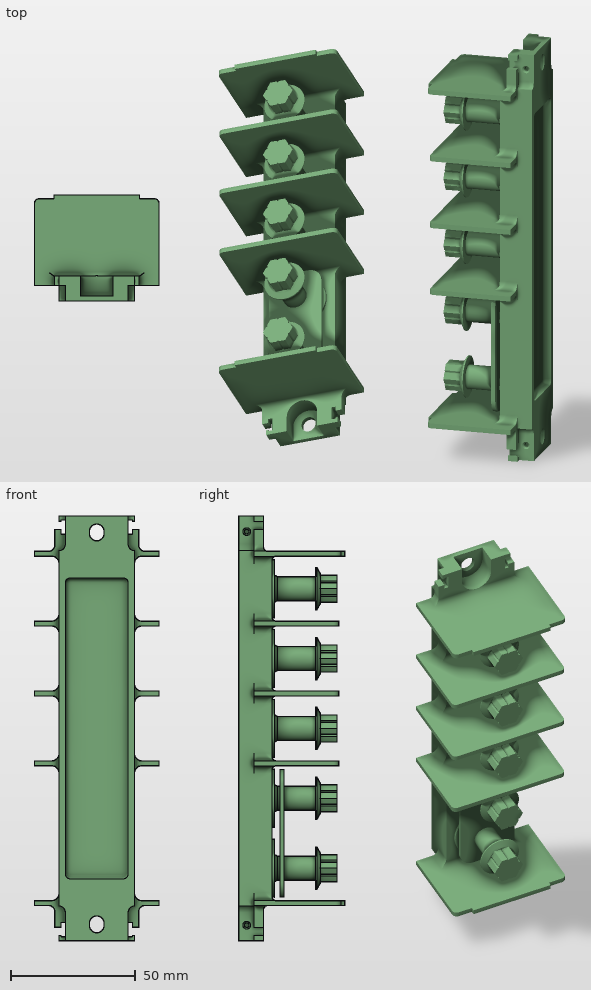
import cadquery as cq
import math

LENGTH = 170.2
END_DIVIDER_SPAN = 139.9
TERMINAL_COUNT = 5
PITCH = END_DIVIDER_SPAN / TERMINAL_COUNT

BODY_WIDTH = 30.3
BODY_BACK = 13.5
BODY_END = LENGTH / 2 - 14.0

END_WIDTH = 25.2
END_BACK = 10.0
RELIEF_DEPTH = 6.1

EAR_WIDTH = 33.7
EAR_THICKNESS = 2.5
EAR_TOP = LENGTH / 2 - 5.5
EAR_STEP = 1.9
LUG_HEIGHT = 2.2
LUG_LIP_THICKNESS = 0.9
LUG_LIP_DROP = 0.5

SLOT_CENTRE = LENGTH / 2 - 6.6
SLOT_WIDTH = 5.8
SLOT_HEIGHT = 6.6
CHANNEL_WIDTH = 13.0
END_WALL = 2.0

SIDE_HOLE_Y = 3.2
SIDE_HOLE_Z = LENGTH / 2 - 6.3
SIDE_HOLE_DIAMETER = 1.9
SIDE_SINK_DIAMETER = 3.0
SIDE_HOLE_DEPTH = 3.0

RECESS_WIDTH = 25.2
RECESS_LENGTH = 120.5
RECESS_DEPTH = 3.0
RECESS_DRAFT = 15
RECESS_CORNER = 2.0
RECESS_FLOOR_FILLET = 1.2

DIVIDER_WIDTH = 50.0
DIVIDER_THICKNESS = 2.0
DIVIDER_CORNER = 2.0
MIDDLE_DIVIDER_BACK = 40.2
END_DIVIDER_BACK = 41.0
TAB_WIDTH = 34.4
TAB_BACK = 42.5
BODY_SIDE_COVE = 2.9
EAR_SIDE_COVE = 2.4
BACK_COVE = 1.5

PAD_DIAMETER = 23.3
PAD_BACK = 14.5
FLARE_DIAMETER = 10.9
FLARE_BACK = 15.5
SHAFT_DIAMETER = 9.7
FLANGE_FRONT = 30.8
FLANGE_RIM = 0.5
FLANGE_BACK = 32.8
FLANGE_DIAMETER = 17.0
FLANGE_TOP_DIAMETER = 11.9
HEAD_BACK = 39.5
HEAD_SIDES = 6
HEAD_ACROSS_FLATS = 10.9
HEAD_GROOVE_WIDTH = 1.0
HEAD_GROOVE_DEPTH = 0.5

LINK_FRONT = 16.5
LINK_BACK = 18.2
LINK_WIDTH = 22.1
LINK_OVERHANG = 11.5
LINK_CORNER = 5.6

STUD_HEIGHTS = [(k - (TERMINAL_COUNT - 1) / 2) * PITCH for k in range(TERMINAL_COUNT)]
MIDDLE_DIVIDER_HEIGHTS = [z + PITCH / 2 for z in STUD_HEIGHTS[1:-1]]
END_DIVIDER_HEIGHT = END_DIVIDER_SPAN / 2
LINKED_STUDS = STUD_HEIGHTS[:2]
HEAD_TURN = 360 / HEAD_SIDES
HEAD_ACROSS_CORNERS = HEAD_ACROSS_FLATS / math.cos(math.pi / HEAD_SIDES)


def block(x_range, y_range, z_range):
    """Box between the given limits."""
    spans = [high - low for low, high in (x_range, y_range, z_range)]
    corner = (x_range[0], y_range[0], z_range[0])
    return cq.Workplane("XY").box(*spans, centered=False).translate(corner)


def centred_block(width, y_range, z_range):
    """Box symmetric about X = 0."""
    return block((-width / 2, width / 2), y_range, z_range)


def facing_back(y, z=0):
    """Workplane at depth y looking along -Y, so that extrusion runs toward +Y (local y is -Z)."""
    return cq.Workplane(cq.Plane((0, y, z), xDir=(1, 0, 0), normal=(0, 1, 0)))


def disc(diameter, front, back, z):
    return facing_back(front, z).circle(diameter / 2).extrude(back - front)


def cone(front_diameter, back_diameter, front, back, z):
    return (
        facing_back(front, z).circle(front_diameter / 2)
        .workplane(offset=back - front).circle(back_diameter / 2).loft()
    )


def both_ends(shape):
    """The shape together with its mirror image at the other end."""
    return shape.union(shape.mirror("XY"))


def body_core():
    front = centred_block(BODY_WIDTH, (0, RELIEF_DEPTH), (-BODY_END, BODY_END))
    core = centred_block(BODY_WIDTH, (0, BODY_BACK), (-END_DIVIDER_HEIGHT, END_DIVIDER_HEIGHT))
    ends = centred_block(END_WIDTH, (0, END_BACK), (-LENGTH / 2, LENGTH / 2))
    return core.union(front).union(ends)


def shoulder_coves():
    """Quarter-round hollows where the narrow end widens to the body."""
    radius = (BODY_WIDTH - END_WIDTH) / 2
    coves = cq.Workplane("XY")
    for side in (-1, 1):
        corner = block((0, radius), (0, RELIEF_DEPTH), (0, radius)).cut(
            facing_back(0).center(radius, -radius).circle(radius).extrude(RELIEF_DEPTH)
        )
        if side < 0:
            corner = corner.mirror("YZ")
        coves = coves.union(corner.translate((side * END_WIDTH / 2, 0, BODY_END)))
    return both_ends(coves)


def ears():
    """Arms beside each mounting end, notched at the inner side of the tip."""
    depth = (RELIEF_DEPTH, END_BACK)
    arms = centred_block(EAR_WIDTH, depth, (END_DIVIDER_HEIGHT, EAR_TOP))
    notch_width = EAR_WIDTH - 2 * EAR_THICKNESS
    notch = centred_block(notch_width, depth, (EAR_TOP - EAR_STEP, EAR_TOP))
    return both_ends(arms.cut(notch))


def lugs():
    """Side lugs at the very end, with a thin lip hanging from the outer side."""
    depth = (RELIEF_DEPTH, END_BACK)
    bottom = LENGTH / 2 - LUG_HEIGHT
    lug = centred_block(BODY_WIDTH, depth, (bottom, LENGTH / 2))
    gap_width = BODY_WIDTH - 2 * LUG_LIP_THICKNESS
    gap = centred_block(gap_width, depth, (bottom, bottom + LUG_LIP_DROP))
    return both_ends(lug.cut(gap))


def mounting_slots():
    """Oval screw slot and the round-ended channel behind it, open at the end."""
    slot = facing_back(0, SLOT_CENTRE).slot2D(SLOT_HEIGHT, SLOT_WIDTH, 90).extrude(BODY_BACK)
    channel = disc(CHANNEL_WIDTH, END_WALL, BODY_BACK, SLOT_CENTRE).union(
        centred_block(CHANNEL_WIDTH, (END_WALL, BODY_BACK), (SLOT_CENTRE, LENGTH / 2))
    )
    return both_ends(slot.union(channel))


def side_holes():
    """Countersunk blind holes in both sides of the end."""
    sink_depth = (SIDE_SINK_DIAMETER - SIDE_HOLE_DIAMETER) / 2
    section = [
        (END_WIDTH / 2 - SIDE_HOLE_DEPTH, 0),
        (END_WIDTH / 2 - SIDE_HOLE_DEPTH, SIDE_HOLE_DIAMETER / 2),
        (END_WIDTH / 2 - sink_depth, SIDE_HOLE_DIAMETER / 2),
        (END_WIDTH / 2, SIDE_SINK_DIAMETER / 2),
        (END_WIDTH / 2, 0),
    ]
    hole = cq.Workplane("XY").polyline(section).close().revolve(360, (0, 0), (1, 0))
    hole = hole.union(hole.mirror("YZ"))
    return both_ends(hole.translate((0, SIDE_HOLE_Y, SIDE_HOLE_Z)))


def front_recess():
    outline = cq.Sketch().rect(RECESS_WIDTH, RECESS_LENGTH).vertices().fillet(RECESS_CORNER)
    return (
        facing_back(0).placeSketch(outline).extrude(RECESS_DEPTH, taper=RECESS_DRAFT)
        .faces(">Y").edges().fillet(RECESS_FLOOR_FILLET)
    )


def divider(back, z):
    plate = centred_block(
        DIVIDER_WIDTH,
        (RELIEF_DEPTH, back),
        (z - DIVIDER_THICKNESS / 2, z + DIVIDER_THICKNESS / 2),
    )
    return plate.edges("|Z and >Y").fillet(DIVIDER_CORNER)


def end_divider(z):
    tab = centred_block(
        TAB_WIDTH,
        (RELIEF_DEPTH, TAB_BACK),
        (z - DIVIDER_THICKNESS / 2, z + DIVIDER_THICKNESS / 2),
    )
    return divider(END_DIVIDER_BACK, z).union(tab)


def cove_ring(width, back, side_cove, z, outward):
    """Concave fillets between a divider at height z and the sides and back of a body of this width."""
    skirt = centred_block(width + 2 * side_cove, (RELIEF_DEPTH, back + BACK_COVE), (0, side_cove))
    for side in (-1, 1):
        side_round = (
            cq.Workplane("XZ")
            .center(side * (width / 2 + side_cove), side_cove)
            .circle(side_cove).extrude(-(back + BACK_COVE))
        )
        skirt = skirt.cut(side_round)
    back_round = (
        cq.Workplane("YZ")
        .center(back + BACK_COVE, BACK_COVE)
        .circle(BACK_COVE).extrude(width, both=True)
    )
    above_back_round = centred_block(2 * width, (back, back + BACK_COVE), (BACK_COVE, side_cove))
    skirt = skirt.cut(back_round).cut(above_back_round)
    if outward < 0:
        skirt = skirt.mirror("XY")
    return skirt.translate((0, 0, z + outward * DIVIDER_THICKNESS / 2))


def dividers():
    plates = cq.Workplane("XY")
    for z in MIDDLE_DIVIDER_HEIGHTS:
        plates = plates.union(divider(MIDDLE_DIVIDER_BACK, z))
        for outward in (-1, 1):
            plates = plates.union(cove_ring(BODY_WIDTH, BODY_BACK, BODY_SIDE_COVE, z, outward))
    for end in (-1, 1):
        z = end * END_DIVIDER_HEIGHT
        plates = plates.union(end_divider(z))
        plates = plates.union(cove_ring(BODY_WIDTH, BODY_BACK, BODY_SIDE_COVE, z, -end))
        plates = plates.union(cove_ring(EAR_WIDTH, END_BACK, EAR_SIDE_COVE, z, end))
    return plates


def stud_head(z):
    """Hexagonal head, corners toward +X and -X, with a V groove along each flat."""
    height = HEAD_BACK - FLANGE_BACK
    root = FLANGE_FRONT + FLANGE_RIM
    head = facing_back(root, z).polygon(HEAD_SIDES, HEAD_ACROSS_CORNERS).extrude(HEAD_BACK - root)
    flat = HEAD_ACROSS_FLATS / 2
    groove = (
        facing_back(FLANGE_BACK)
        .polyline([
            (-HEAD_GROOVE_WIDTH / 2, flat),
            (HEAD_GROOVE_WIDTH / 2, flat),
            (0, flat - HEAD_GROOVE_DEPTH),
        ])
        .close().extrude(height)
    )
    for turn in range(HEAD_SIDES):
        head = head.cut(groove.rotate((0, 0, 0), (0, 1, 0), HEAD_TURN * turn).translate((0, 0, z)))
    return head


def stud(z):
    rim_back = FLANGE_FRONT + FLANGE_RIM
    return (
        disc(PAD_DIAMETER, BODY_BACK, PAD_BACK, z)
        .union(cone(FLARE_DIAMETER, SHAFT_DIAMETER, PAD_BACK, FLARE_BACK, z))
        .union(disc(SHAFT_DIAMETER, FLARE_BACK, FLANGE_FRONT, z))
        .union(disc(FLANGE_DIAMETER, FLANGE_FRONT, rim_back, z))
        .union(cone(FLANGE_DIAMETER, FLANGE_TOP_DIAMETER, rim_back, FLANGE_BACK, z))
        .union(stud_head(z))
    )


def make_housing():
    housing = body_core().union(shoulder_coves()).union(ears()).union(lugs()).union(dividers())
    housing = housing.cut(mounting_slots()).cut(side_holes()).cut(front_recess())
    for z in STUD_HEIGHTS:
        housing = housing.union(stud(z))
    return housing.solids()


def make_link():
    low = LINKED_STUDS[0] - LINK_OVERHANG
    high = LINKED_STUDS[-1] + LINK_OVERHANG
    link = centred_block(LINK_WIDTH, (LINK_FRONT, LINK_BACK), (low, high))
    link = link.edges("|Y").fillet(LINK_CORNER)
    for z in LINKED_STUDS:
        link = link.cut(disc(SHAFT_DIAMETER, LINK_FRONT, LINK_BACK, z))
    return link


housing = make_housing()
link = make_link()

result = cq.Compound.makeCompound([housing.val(), link.val()])